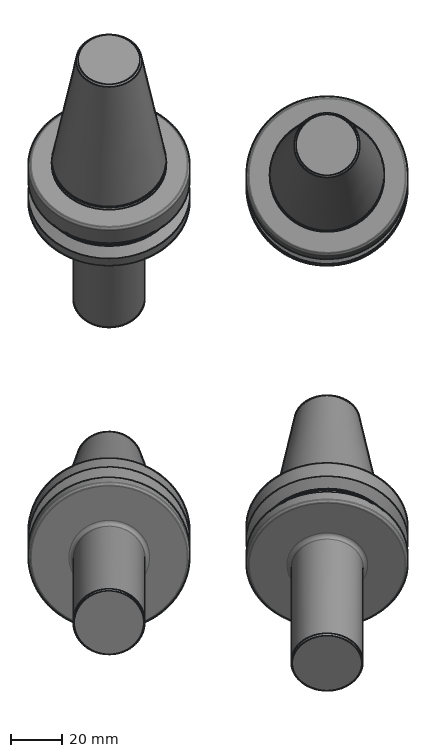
import cadquery as cq
import math

total_length = 155.4
shank_length = 63.0
flange_width = 25.0
collar_height = 2.0

shank_radius = 14.0
shank_chamfer_radial = 0.5
shank_chamfer_height = 1.0
shank_fillet = 1.7

flange_diameter = 63.0
flange_chamfer = 1.0
flange_edge_rounding = 0.5
lower_rim_height = 5.6
groove_width = 10.0
groove_floor_width = 5.1
groove_floor_radius = 26.5
groove_flank_angle = 30.0

taper_base_radius = 22.2
taper_per_length = 7 / 24
taper_tip_chamfer = 0.8

relief_depth = 0.3
relief_top_drop = 0.5
relief_flare_height = 0.8
collar_foot_radius = 22.4

flange_radius = flange_diameter / 2
flange_top = shank_length + flange_width
gauge_height = flange_top + collar_height
taper_length = total_length - gauge_height
taper_tip_radius = taper_base_radius - taper_length * taper_per_length / 2
chamfer_base_radius = taper_tip_radius + taper_tip_chamfer * taper_per_length / 2

groove_bottom = shank_length + lower_rim_height
groove_top = groove_bottom + groove_width
flank_height = (groove_width - groove_floor_width) / 2
flank_inner_radius = flange_radius - flank_height / math.tan(math.radians(groove_flank_angle))

relief_radius = taper_base_radius - relief_depth
relief_top = gauge_height - relief_top_drop

rim_face_radius = flange_radius - flange_chamfer
fillet_mid_radius = shank_radius + shank_fillet * (1 - math.sqrt(0.5))
fillet_mid_height = shank_length - shank_fillet * (1 - math.sqrt(0.5))

profile = (
    cq.Workplane("XZ")
    .moveTo(0, 0)
    .lineTo(shank_radius - shank_chamfer_radial, 0)
    .lineTo(shank_radius, shank_chamfer_height)
    .lineTo(shank_radius, shank_length - shank_fillet)
    .threePointArc((fillet_mid_radius, fillet_mid_height), (shank_radius + shank_fillet, shank_length))
    .lineTo(rim_face_radius, shank_length)
    .lineTo(flange_radius, shank_length + flange_chamfer)
    .lineTo(flange_radius, groove_bottom)
    .lineTo(flank_inner_radius, groove_bottom + flank_height)
    .lineTo(groove_floor_radius, groove_bottom + flank_height)
    .lineTo(groove_floor_radius, groove_top - flank_height)
    .lineTo(flank_inner_radius, groove_top - flank_height)
    .lineTo(flange_radius, groove_top)
    .lineTo(flange_radius, flange_top - flange_chamfer)
    .lineTo(rim_face_radius, flange_top)
    .lineTo(collar_foot_radius, flange_top)
    .lineTo(relief_radius, flange_top + relief_flare_height)
    .lineTo(relief_radius, relief_top)
    .lineTo(taper_base_radius, relief_top)
    .lineTo(taper_base_radius, gauge_height)
    .lineTo(chamfer_base_radius, total_length - taper_tip_chamfer)
    .lineTo(chamfer_base_radius - taper_tip_chamfer, total_length)
    .lineTo(0, total_length)
    .close()
)

body = profile.revolve(360, (0, 0, 0), (0, 1, 0))


def rim_chamfer_edges(solid):
    """Select the two circles that bound each outer chamfer of the flange."""
    rim_circles = (
        (rim_face_radius, shank_length),
        (flange_radius, shank_length + flange_chamfer),
        (flange_radius, flange_top - flange_chamfer),
        (rim_face_radius, flange_top),
    )
    tolerance = 0.02

    def is_rim_circle(edge):
        if edge.geomType() != "CIRCLE":
            return False
        return any(
            abs(edge.radius() - radius) < tolerance and abs(edge.Center().z - height) < tolerance
            for radius, height in rim_circles
        )

    return solid.edges().filter(is_rim_circle)


result = rim_chamfer_edges(body).fillet(flange_edge_rounding)